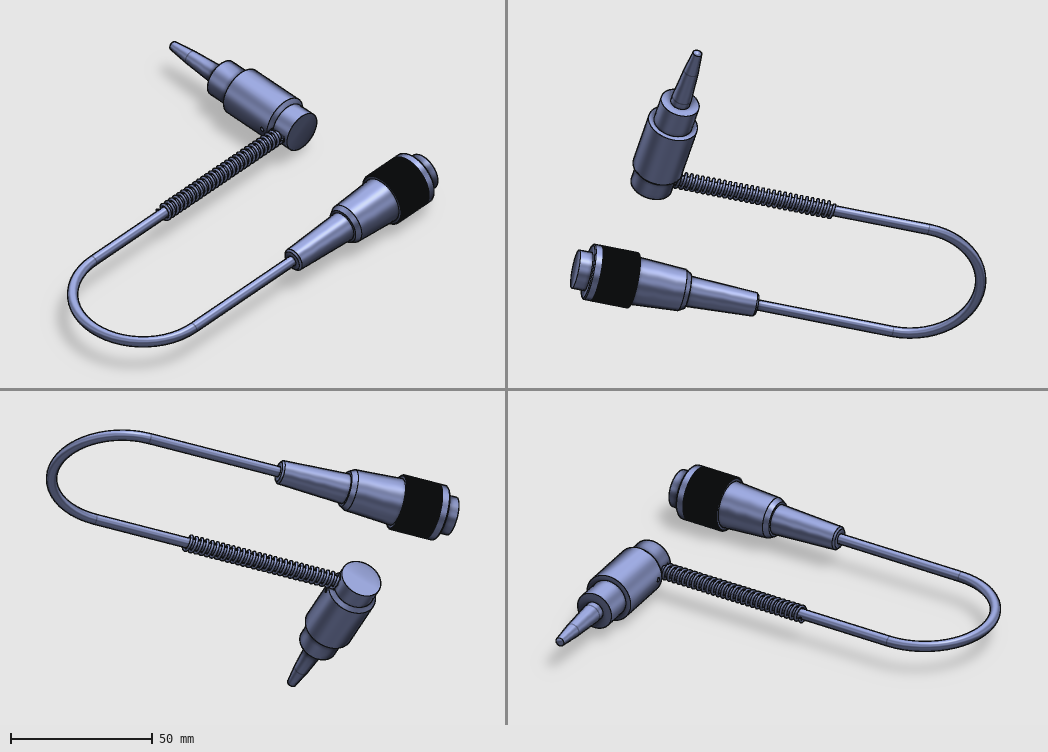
import cadquery as cq
import math


cable_diameter = 3.7
cable_x = 60.3
bend_radius = 25.0
bend_y = -100.0
plug_x = cable_x + 2 * bend_radius
cable_start_y = -3.7

dome_length = 0.7
taper_break_x = 9.5
collar_start_x = 22.4
nose_start_x = 24.8
grip_start_x = 34.8
grip_end_x = 56.5
probe_end_x = 65.0
dome_diameter = 3.3
taper_break_diameter = 5.3
collar_diameter = 7.0
nose_diameter = 14.0
grip_diameter = 18.0
rear_diameter = 15.0
side_hole_diameter = 1.5
side_hole_depth = 2.9
side_hole_x = 54.0

wire_diameter = 1.0
spring_outer_diameter = 6.3
spring_turns = 28.5
spring_start_y = -7.8
spring_length = 57.2
socket_diameter = 6.5
socket_floor_y = spring_start_y + 0.5 * wire_diameter

plug_front_y = 15.8
ring_front_y = 11.3
knurl_front_y = 8.3
ring_rear_y = -5.4
boot_shoulder_y = -23.0
boot_neck_y = -25.0
boot_end_y = -50.4
plug_diameter = 13.8
ring_diameter = 20.0
ring_chamfer = 0.4
knurl_count = 180
knurl_depth = 0.4
boot_front_diameter = 17.1
boot_shoulder_diameter = 15.0
boot_shoulder_foot_diameter = 12.8
boot_neck_diameter = 11.0
boot_end_diameter = 8.5
boot_end_chamfer = 0.7


def cylinder_along_y(diameter, x, y_from, y_to):
    """Cylinder about a line parallel to Y in the plane Z = 0."""
    start = cq.Workplane("XZ", origin=(x, max(y_from, y_to), 0))
    return start.circle(diameter / 2).extrude(abs(y_to - y_from))


def make_probe():
    """Turned probe with a domed tip, a socket for spring and cable, and a side hole."""
    rear_chamfer = (grip_diameter - rear_diameter) / 2
    dome_radius = (dome_length**2 + (dome_diameter / 2) ** 2) / (2 * dome_length)
    dome_mid_x = dome_length / 4
    dome_mid = (dome_mid_x, math.sqrt(dome_mid_x * (2 * dome_radius - dome_mid_x)))
    body = (
        cq.Workplane("XY")
        .moveTo(0, 0)
        .threePointArc(dome_mid, (dome_length, dome_diameter / 2))
        .lineTo(taper_break_x, taper_break_diameter / 2)
        .lineTo(collar_start_x, collar_diameter / 2)
        .lineTo(nose_start_x, collar_diameter / 2)
        .lineTo(nose_start_x, nose_diameter / 2)
        .lineTo(grip_start_x, nose_diameter / 2)
        .lineTo(grip_start_x, grip_diameter / 2)
        .lineTo(grip_end_x, grip_diameter / 2)
        .lineTo(grip_end_x + rear_chamfer, rear_diameter / 2)
        .lineTo(probe_end_x, rear_diameter / 2)
        .lineTo(probe_end_x, 0)
        .close()
        .revolve(360, (0, 0, 0), (1, 0, 0))
    )
    socket = cylinder_along_y(socket_diameter, cable_x, socket_floor_y, -grip_diameter)
    cable_hole = cylinder_along_y(cable_diameter, cable_x, cable_start_y, -grip_diameter)
    side_hole_floor_y = side_hole_depth - grip_diameter / 2
    side_hole = cylinder_along_y(side_hole_diameter, side_hole_x, side_hole_floor_y, -grip_diameter)
    return body.cut(socket).cut(cable_hole).cut(side_hole)


def make_cable():
    """Round cable: a straight run, a half-circle bend and a run back into the boot."""
    path = (
        cq.Workplane("XY")
        .moveTo(cable_x, cable_start_y)
        .lineTo(cable_x, bend_y)
        .threePointArc((cable_x + bend_radius, bend_y - bend_radius), (plug_x, bend_y))
        .lineTo(plug_x, ring_rear_y)
    )
    section = cq.Workplane("XZ", origin=(cable_x, cable_start_y, 0)).circle(cable_diameter / 2)
    return section.sweep(path)


def make_spring():
    """Open coil spring, wound about Z and then laid along -Y."""
    coil_radius = (spring_outer_diameter - wire_diameter) / 2
    pitch = spring_length / spring_turns
    helix = cq.Wire.makeHelix(pitch, spring_length, coil_radius, lefthand=True)
    coil = (
        cq.Workplane("XZ", origin=(coil_radius, 0, 0))
        .circle(wire_diameter / 2)
        .sweep(cq.Workplane(helix), isFrenet=True)
    )
    return (
        coil.rotate((0, 0, 0), (1, 0, 0), 90)
        .translate((cable_x, spring_start_y, 0))
    )


def make_plug():
    """Cylindrical plug that fills the ring and stands out in front of it."""
    return cylinder_along_y(plug_diameter, plug_x, plug_front_y, ring_rear_y)


def make_ring():
    """Coupling ring with a plain front band and straight V-shaped knurling behind it."""
    outer_radius = ring_diameter / 2
    root_radius = outer_radius - knurl_depth
    points = []
    for i in range(2 * knurl_count):
        radius = outer_radius if i % 2 == 0 else root_radius
        angle = math.pi * i / knurl_count
        points.append((radius * math.cos(angle), radius * math.sin(angle)))
    teeth = (
        cq.Workplane("XZ", origin=(plug_x, knurl_front_y, 0))
        .polyline(points)
        .close()
        .extrude(knurl_front_y - ring_rear_y)
    )
    band = cylinder_along_y(ring_diameter, plug_x, ring_front_y, knurl_front_y)
    envelope = (
        cylinder_along_y(ring_diameter, plug_x, ring_front_y, ring_rear_y)
        .faces("<Y or >Y")
        .chamfer(ring_chamfer)
    )
    bore = cylinder_along_y(plug_diameter, plug_x, ring_front_y, ring_rear_y)
    return band.union(teeth).intersect(envelope).cut(bore)


def make_boot():
    """Stepped, tapered strain-relief boot with a bore for the cable."""
    body = (
        cq.Workplane("XY", origin=(plug_x, 0, 0))
        .moveTo(0, ring_rear_y)
        .lineTo(boot_front_diameter / 2, ring_rear_y)
        .lineTo(boot_shoulder_diameter / 2, boot_shoulder_y)
        .lineTo(boot_shoulder_foot_diameter / 2, boot_neck_y)
        .lineTo(boot_neck_diameter / 2, boot_neck_y)
        .lineTo(boot_end_diameter / 2, boot_end_y + boot_end_chamfer)
        .lineTo(boot_end_diameter / 2 - boot_end_chamfer, boot_end_y)
        .lineTo(0, boot_end_y)
        .close()
        .revolve(360, (0, 0, 0), (0, 1, 0))
    )
    return body.cut(cylinder_along_y(cable_diameter, plug_x, ring_rear_y, boot_end_y))


probe = make_probe()
cable = make_cable()
spring = make_spring()
plug = make_plug()
ring = make_ring()
boot = make_boot()

result = cq.Compound.makeCompound(
    [probe.val(), cable.val(), spring.val(), plug.val(), ring.val(), boot.val()]
)